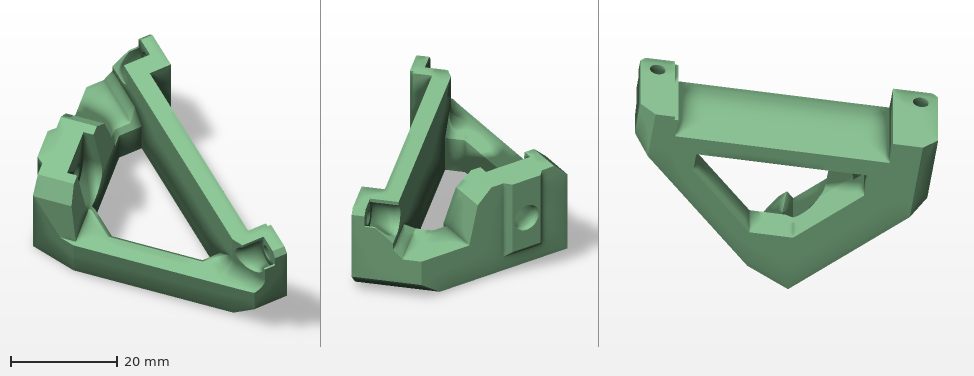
import cadquery as cq
import math

LENGTH = 51.0
DEPTH = 45.0
HEIGHT = 19.4
ROOT2 = math.sqrt(2)

BACK = 39.5
PLATE_REAR = 35.05
PLATE_FRONT = 31.5
PLATE_TOP = 17.7
RIGHT_END = LENGTH * ROOT2 - BACK
LEFT_END = BACK - DEPTH * ROOT2
LEFT_LUG = 8.6
RIGHT_LUG = 7.35
LUG_STEP = 0.7
END_BOTTOM_CHAMFER = 2.9
END_TOP_CHAMFER = 1.0

SEAT_INSET = 3.3
SEAT_Z = 14.4
SEAT_RADIUS = 2.95
SEAT_FLOOR = 37.0
SCREW_RADIUS = 1.5

WALL_X = 1.35
ARM_INNER_X = 10.45
ARM_INNER_Y = 4.95
ARM_TOP = 8.1
CORNER_Y = 2.95
CORNER_X = 10.3
OPENING_LEFT = -12.0
OPENING_RIGHT = 20.7
OPENING_CORNER = 21.25
OPENING_CHAMFER = 1.0
GUSSET = 1.85
BANK_RADIUS = 2.85
BANK_START = 15.3
PAD_KINK_X = 40.45
PAD_ANGLE = 19.0

TOWER_Y = 12.9
TOWER_TOP_HALF = 7.0
TOWER_SHOULDER_HALF = 10.05
TOWER_BASE_HALF = 11.95
TOWER_SHOULDER_Z = 16.4
TOWER_TOP_X = 8.45
RAIL_BASE_HALF = 4.3
RAIL_TIP_HALF = 3.1
RAIL_BOTTOM = 2.95
RAIL_BEVEL = 1.4
BOLT_Z = 10.95
BOLT_RADIUS = 2.7
NUT_RADIUS = 4.95
NUT_FLOOR_X = 6.5
NUT_LENGTH = 7.15

CLEAR = 10.2


def diagonal(along, back):
    """X, Y of a point given in the directions of the diagonal plate."""
    return ((back + along) / ROOT2, (back - along) / ROOT2)


def prism(points, bottom, top):
    return cq.Workplane("XY").workplane(offset=bottom).polyline(points).close().extrude(top - bottom)


def diagonal_block(along_0, along_1, back_0, back_1, bottom, top):
    corners = [(along_0, back_0), (along_1, back_0), (along_1, back_1), (along_0, back_1)]
    return prism([diagonal(*corner) for corner in corners], bottom, top)


def along_profile(points, back_0, back_1):
    """Extrude an (along, Z) profile through the plate."""
    x, y = diagonal(0, back_0)
    plane = cq.Plane(origin=(x, y, 0), xDir=(1, -1, 0), normal=(-1, -1, 0))
    return cq.Workplane(plane).polyline(points).close().extrude(back_0 - back_1)


def across_profile(points, along_0, along_1):
    """Extrude a (back, Z) profile along the plate."""
    x, y = diagonal(along_0, 0)
    plane = cq.Plane(origin=(x, y, 0), xDir=(1, 1, 0), normal=(1, -1, 0))
    return cq.Workplane(plane).polyline(points).close().extrude(along_1 - along_0)


def seat_cylinder(along, radius, back_0, back_1):
    x, y = diagonal(along, back_0)
    plane = cq.Plane(origin=(x, y, SEAT_Z), xDir=(1, -1, 0), normal=(1, 1, 0))
    return cq.Workplane(plane).circle(radius).extrude(back_1 - back_0)


footprint = [
    (WALL_X, WALL_X - LEFT_END * ROOT2),
    (WALL_X, CORNER_Y),
    (CORNER_X, 0),
    (RIGHT_END * ROOT2, 0),
    diagonal(RIGHT_END, PLATE_FRONT),
    diagonal(LEFT_END, PLATE_FRONT),
]

in_front = prism([(0, 0), (LENGTH, 0), (LENGTH, -CLEAR), (0, -CLEAR)], 0, HEIGHT)


def make_arms():
    arms = prism(footprint, 0, ARM_TOP)
    gusset_profile = [
        (PLATE_FRONT - GUSSET, ARM_TOP),
        (PLATE_FRONT, ARM_TOP),
        (PLATE_FRONT, ARM_TOP + GUSSET),
    ]
    arms = arms.union(across_profile(gusset_profile, LEFT_END, 0))
    bank = diagonal_block(
        BANK_START, RIGHT_END, PLATE_FRONT - BANK_RADIUS, PLATE_FRONT, 0, ARM_TOP + BANK_RADIUS
    )
    arms = arms.union(bank.cut(in_front))

    opening = [
        diagonal(OPENING_LEFT, PLATE_FRONT),
        (ARM_INNER_X, ARM_INNER_X - OPENING_LEFT * ROOT2),
        (ARM_INNER_X, OPENING_CORNER - ARM_INNER_X),
        (OPENING_CORNER - ARM_INNER_Y, ARM_INNER_Y),
        (ARM_INNER_Y + OPENING_RIGHT * ROOT2, ARM_INNER_Y),
        diagonal(OPENING_RIGHT, PLATE_FRONT),
    ]
    flare_bottom = ARM_TOP - OPENING_CHAMFER
    flare_height = OPENING_CHAMFER + BANK_RADIUS
    flare = (
        cq.Workplane("XY").workplane(offset=flare_bottom)
        .polyline(opening).close().extrude(flare_height, taper=-45)
    )
    return arms.cut(prism(opening, 0, ARM_TOP)).cut(flare)


def make_plate():
    plate = diagonal_block(LEFT_END, RIGHT_END, PLATE_FRONT, PLATE_REAR, 0, PLATE_TOP)
    left_lug = diagonal_block(LEFT_END, LEFT_END + LEFT_LUG, PLATE_FRONT, BACK, 0, PLATE_TOP)
    right_lug = diagonal_block(RIGHT_END - RIGHT_LUG, RIGHT_END, PLATE_FRONT, BACK, 0, PLATE_TOP)
    step = diagonal_block(
        RIGHT_END - RIGHT_LUG, RIGHT_END - RIGHT_LUG + LUG_STEP, BACK - LUG_STEP, BACK, 0, PLATE_TOP
    )
    return plate.union(left_lug).union(right_lug.cut(step)).cut(in_front)


def make_pad_clearance():
    """Space above the right arm, rounded where it meets the plate and the turned screw pad."""
    kink = (PAD_KINK_X, PLATE_FRONT * ROOT2 - PAD_KINK_X)
    slope = math.tan(math.radians(PAD_ANGLE))
    pad_end = (LENGTH + CLEAR, kink[1] - slope * (LENGTH + CLEAR - kink[0]))
    start = diagonal(BANK_START, PLATE_FRONT)
    outline = [start, kink, pad_end, (pad_end[0], -2 * CLEAR), (start[0], -2 * CLEAR)]
    space = prism(outline, ARM_TOP, HEIGHT)
    rounded = [
        cq.selectors.NearestToPointSelector(((a[0] + b[0]) / 2, (a[1] + b[1]) / 2, ARM_TOP))
        for a, b in ((start, kink), (kink, pad_end))
    ]
    return space.edges(rounded[0] + rounded[1]).fillet(BANK_RADIUS)


def make_end_cuts(end, inward):
    """Chamfers and screw seat at one end; inward is the sign pointing into the plate."""
    bottom = [(end, 0), (end + inward * END_BOTTOM_CHAMFER, 0), (end, END_BOTTOM_CHAMFER)]
    top = [
        (end, PLATE_TOP),
        (end + inward * END_TOP_CHAMFER, PLATE_TOP),
        (end, PLATE_TOP - END_TOP_CHAMFER),
    ]
    centre = end + inward * SEAT_INSET
    cuts = along_profile(bottom, BACK, 0).union(along_profile(top, BACK, PLATE_FRONT))
    cuts = cuts.union(seat_cylinder(centre, SCREW_RADIUS, PLATE_FRONT, BACK))
    cuts = cuts.union(seat_cylinder(centre, SEAT_RADIUS, PLATE_FRONT - BANK_RADIUS, SEAT_FLOOR))
    notch = diagonal_block(
        end, centre + inward * SCREW_RADIUS, PLATE_FRONT, SEAT_FLOOR, SEAT_Z, PLATE_TOP
    )
    return cuts.union(notch)


def make_left_relief():
    """Sloping cut from the notch floor to the plate front, outside the left seat."""
    slope = [
        (PLATE_FRONT, SEAT_Z - SEAT_RADIUS),
        (PLATE_REAR, SEAT_Z),
        (PLATE_FRONT, SEAT_Z),
    ]
    return across_profile(slope, LEFT_END, LEFT_END + SEAT_INSET)


def make_tower():
    half_profile = [
        (TOWER_BASE_HALF, 0),
        (TOWER_BASE_HALF, ARM_TOP),
        (TOWER_SHOULDER_HALF, TOWER_SHOULDER_Z),
        (TOWER_TOP_HALF, HEIGHT),
    ]
    profile = [(TOWER_Y + y, z) for y, z in half_profile]
    profile += [(TOWER_Y - y, z) for y, z in reversed(half_profile)]
    side = cq.Workplane("YZ").polyline(profile).close().extrude(ARM_INNER_X)
    lean = [
        (WALL_X, 0),
        (ARM_INNER_X, 0),
        (ARM_INNER_X, ARM_TOP),
        (TOWER_TOP_X, HEIGHT),
        (WALL_X, HEIGHT),
    ]
    front = cq.Workplane("XZ").polyline(lean).close().extrude(-DEPTH)
    return side.intersect(front).intersect(prism(footprint, 0, HEIGHT))


def make_rail():
    plan = [
        (WALL_X, TOWER_Y - RAIL_BASE_HALF),
        (0, TOWER_Y - RAIL_TIP_HALF),
        (0, TOWER_Y + RAIL_TIP_HALF),
        (WALL_X, TOWER_Y + RAIL_BASE_HALF),
    ]
    bevel = (
        cq.Workplane("XZ")
        .polyline([(0, RAIL_BOTTOM), (WALL_X, RAIL_BOTTOM), (0, RAIL_BOTTOM + RAIL_BEVEL)])
        .close().extrude(-DEPTH)
    )
    return prism(plan, RAIL_BOTTOM, HEIGHT).cut(bevel)


def make_bolt_cuts():
    """Bolt hole through the tower with a round-bottomed nut slot open at the top."""
    axis = cq.Workplane("YZ").center(TOWER_Y, BOLT_Z)
    bolt = axis.circle(BOLT_RADIUS).extrude(ARM_INNER_X)
    inner = cq.Workplane("YZ").workplane(offset=NUT_FLOOR_X).center(TOWER_Y, BOLT_Z)
    nut = inner.circle(NUT_RADIUS).extrude(NUT_LENGTH)
    slot_height = HEIGHT - BOLT_Z
    slot = inner.rect(2 * NUT_RADIUS, 2 * slot_height).extrude(NUT_LENGTH)
    above_axis = cq.Workplane("XY").workplane(offset=BOLT_Z).rect(2 * LENGTH, 2 * LENGTH).extrude(HEIGHT)
    return bolt.union(nut).union(slot.intersect(above_axis))


result = make_arms().union(make_plate()).cut(make_pad_clearance())
result = result.cut(make_end_cuts(LEFT_END, 1)).cut(make_end_cuts(RIGHT_END, -1))
result = result.cut(make_left_relief()).union(make_tower()).union(make_rail()).cut(make_bolt_cuts())